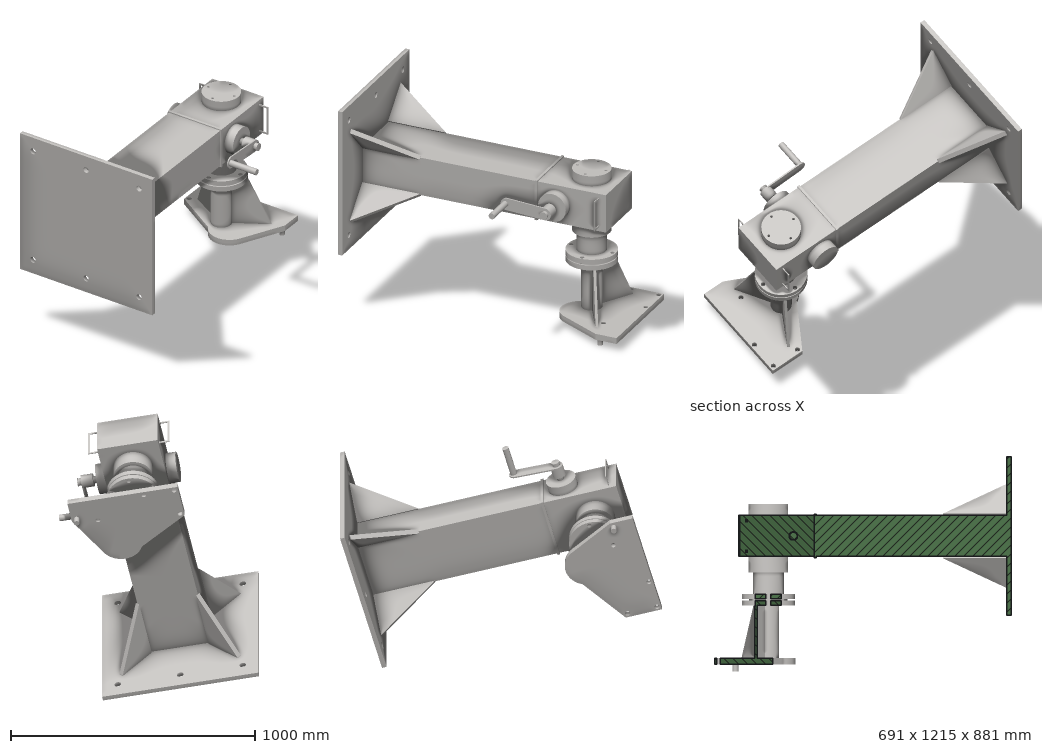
import cadquery as cq


OVERALL_WIDTH = 691.0
OVERALL_HEIGHT = 881.0

PLATE_SIDE = 652.0
PLATE_THICK = 20.0
PLATE_HOLE_DIA = 27.0
PLATE_HOLE_OFFSET = 261.0

BEAM_WIDTH = 253.0
BEAM_HEIGHT = 170.0
COLLAR_START = 798.0
COLLAR_LENGTH = 11.0
COLLAR_LIP = 5.0
ARM_GUSSET_TIP = 279.0
ARM_GUSSET_REACH = 171.0
ARM_GUSSET_THICK = 20.0
ARM_GUSSET_EMBED = 1.0

HEAD_START = COLLAR_START + COLLAR_LENGTH
COVER_THICK = 5.0
COVER_END = 1118.0
HEAD_END = COVER_END - COVER_THICK

SWIVEL_Y = 995.0
BOSS_RADIUS = 81.0
BOSS_TOP = 130.0
BOSS_BOTTOM = -150.0
TAPPED_HOLE_DIA = 11.0
TAPPED_HOLE_DEPTH = 18.0
TAPPED_HOLE_RADIUS = 64.0

SHAFT_Y = 893.0
SHAFT_DIA = 30.0
SHAFT_LIP_DIA = 34.0
SHAFT_LIP_START = 249.0
SHAFT_END = 253.0
SIDE_BOSS_DIA = 125.0
SIDE_BOSS_REACH = 168.0

HUB_DIA = 53.0
HUB_START = 186.0
HUB_END = 236.0
LEVER_THICK = 6.0
LEVER_THROW = 181.0
LEVER_END = 200.0
LEVER_TILT = 3.5
HANDLE_DIA = 27.0
HANDLE_END = OVERALL_WIDTH - PLATE_SIDE / 2

FRAME_Y = 1085.0
FRAME_BAR = 7.0
FRAME_THICK = 4.0
FRAME_WIDTH = 340.0
FRAME_HEIGHT = 132.0

COLUMN_RADIUS = 63.0
FLANGE_RADIUS = 108.0
FLANGE_THICK = 22.0
COLUMN_FLANGE_TOP = -237.0
FLANGE_GAP = 5.0
RAISED_FACE_RADIUS = 79.0
FLANGE_HOLE_DIA = 18.0
FLANGE_HOLE_RADIUS = 94.0
STAND_TOP = COLUMN_FLANGE_TOP - FLANGE_THICK - FLANGE_GAP

POST_RADIUS = 44.0
STAND_BOTTOM = -526.0
BASE_THICK = 27.0
BASE_TOP = STAND_BOTTOM + BASE_THICK
BASE_LEFT = -228.0
BASE_RIGHT = 231.0
BASE_BACK = 1215.0
BASE_LEFT_CORNER_Y = 1062.0
BASE_RIGHT_CORNER_Y = 1119.0
NOSE_START = (-24.0, 933.0)
NOSE_TIP = (56.0, 883.0)
NOSE_END = (136.0, 934.0)
BASE_HOLE_DIA = 21.0
BASE_HOLES = [(-211.0, 1199.0), (-85.0, 1199.0), (-211.0, 1074.0), (125.0, 1105.0)]
STAND_GUSSET_REACH = 205.0
STAND_GUSSET_THICK = 11.0
STAND_GUSSET_SETBACK = 2.0
STAND_GUSSET_ANGLES = (30, 150)
PEG_DIA = 23.0
PEG_END = PLATE_SIDE / 2 - OVERALL_HEIGHT
PEG_X = 209.0
PEG_Y = 1130.0


def block_y(width, height, y_start, y_end):
    """Box centred on the arm axis, from y_start to y_end."""
    return cq.Workplane("XY").box(width, y_end - y_start, height).translate((0, (y_start + y_end) / 2, 0))


def disc_z(radius, z_low, z_high, x=0, y=SWIVEL_Y):
    """Vertical cylinder, on the swivel axis unless placed elsewhere."""
    return cq.Workplane("XY", origin=(x, y, z_low)).circle(radius).extrude(z_high - z_low)


def rod_x(diameter, x_start, x_end, y=SHAFT_Y):
    """Cylinder along X at the height of the arm axis."""
    return cq.Workplane("YZ", origin=(x_start, y, 0)).circle(diameter / 2).extrude(x_end - x_start)


def ring_of_holes(radius, diameter, z_low, z_high):
    """Four vertical cutters around the swivel axis, on the X and Y directions."""
    return (
        cq.Workplane("XY", origin=(0, SWIVEL_Y, z_low))
        .polarArray(radius, 0, 360, 4)
        .circle(diameter / 2)
        .extrude(z_high - z_low)
    )


def arm_gusset(x_side, z_side):
    """Triangular plate running diagonally out of one corner of the beam."""
    outline = [
        (-ARM_GUSSET_EMBED, PLATE_THICK),
        (ARM_GUSSET_REACH, PLATE_THICK),
        (0, ARM_GUSSET_TIP),
        (-ARM_GUSSET_EMBED, ARM_GUSSET_TIP),
    ]
    diagonal = cq.Plane(
        origin=(x_side * BEAM_WIDTH / 2, 0, z_side * BEAM_HEIGHT / 2),
        xDir=(x_side, 0, z_side),
        normal=(z_side, 0, -x_side),
    )
    along = diagonal.yDir.y
    points = [(outward, along * y) for outward, y in outline]
    return cq.Workplane(diagonal).polyline(points).close().extrude(ARM_GUSSET_THICK / 2, both=True)


def make_arm():
    plate = block_y(PLATE_SIDE, PLATE_SIDE, 0, PLATE_THICK)
    holes = (
        cq.Workplane("XZ")
        .rarray(PLATE_HOLE_OFFSET, 2 * PLATE_HOLE_OFFSET, 3, 2)
        .circle(PLATE_HOLE_DIA / 2)
        .extrude(-PLATE_THICK)
    )
    beam = block_y(BEAM_WIDTH, BEAM_HEIGHT, PLATE_THICK, COLLAR_START)
    collar = block_y(BEAM_WIDTH + 2 * COLLAR_LIP, BEAM_HEIGHT + 2 * COLLAR_LIP, COLLAR_START, HEAD_START)
    arm = plate.cut(holes).union(beam).union(collar)
    for x_side in (-1, 1):
        for z_side in (-1, 1):
            arm = arm.union(arm_gusset(x_side, z_side))
    return arm


def make_cover():
    return block_y(BEAM_WIDTH, BEAM_HEIGHT, HEAD_END, COVER_END)


def make_shaft():
    stem = rod_x(SHAFT_DIA, -SIDE_BOSS_REACH, SHAFT_LIP_START)
    end_lip = rod_x(SHAFT_LIP_DIA, SHAFT_LIP_START, SHAFT_END)
    return stem.union(end_lip)


def make_frame():
    outer = cq.Workplane("XY").box(FRAME_WIDTH, FRAME_THICK, FRAME_HEIGHT)
    opening = cq.Workplane("XY").box(FRAME_WIDTH - 2 * FRAME_BAR, FRAME_THICK, FRAME_HEIGHT - 2 * FRAME_BAR)
    return outer.cut(opening).translate((0, FRAME_Y, 0))


def make_head(shaft, frame):
    body = block_y(BEAM_WIDTH, BEAM_HEIGHT, HEAD_START, HEAD_END)
    swivel_boss = disc_z(BOSS_RADIUS, BOSS_BOTTOM, BOSS_TOP)
    side_bosses = rod_x(SIDE_BOSS_DIA, -SIDE_BOSS_REACH, SIDE_BOSS_REACH)
    tapped_holes = ring_of_holes(TAPPED_HOLE_RADIUS, TAPPED_HOLE_DIA, BOSS_TOP - TAPPED_HOLE_DEPTH, BOSS_TOP)
    head = body.union(swivel_boss).union(side_bosses).cut(tapped_holes)
    return head.cut(shaft).cut(frame)


def make_crank(shaft):
    hub = rod_x(HUB_DIA, HUB_START, HUB_END)
    lever_start = HUB_END - LEVER_THICK
    lever_length = LEVER_END - HUB_DIA / 2
    lever_bar = (
        cq.Workplane("XY")
        .box(LEVER_THICK, lever_length, HUB_DIA)
        .translate((HUB_END - LEVER_THICK / 2, SHAFT_Y - lever_length / 2, 0))
    )
    lever_tip = rod_x(HUB_DIA, lever_start, HUB_END, SHAFT_Y - lever_length)
    handle = rod_x(HANDLE_DIA, HUB_END, HANDLE_END, SHAFT_Y - LEVER_THROW)
    swing = lever_bar.union(lever_tip).union(handle).rotate((0, SHAFT_Y, 0), (1, SHAFT_Y, 0), -LEVER_TILT)
    return hub.union(swing).cut(shaft)


def make_column():
    flange_bottom = COLUMN_FLANGE_TOP - FLANGE_THICK
    tube = disc_z(COLUMN_RADIUS, COLUMN_FLANGE_TOP, BOSS_BOTTOM)
    flange = disc_z(FLANGE_RADIUS, flange_bottom, COLUMN_FLANGE_TOP)
    raised_face = disc_z(RAISED_FACE_RADIUS, STAND_TOP, flange_bottom)
    holes = ring_of_holes(FLANGE_HOLE_RADIUS, FLANGE_HOLE_DIA, flange_bottom, COLUMN_FLANGE_TOP)
    return tube.union(flange).union(raised_face).cut(holes)


def make_base_plate():
    plate = (
        cq.Workplane("XY", origin=(0, 0, STAND_BOTTOM))
        .moveTo(BASE_LEFT, BASE_BACK)
        .lineTo(BASE_LEFT, BASE_LEFT_CORNER_Y)
        .lineTo(*NOSE_START)
        .threePointArc(NOSE_TIP, NOSE_END)
        .lineTo(BASE_RIGHT, BASE_RIGHT_CORNER_Y)
        .lineTo(BASE_RIGHT, BASE_BACK)
        .close()
        .extrude(BASE_THICK)
    )
    holes = (
        cq.Workplane("XY", origin=(0, 0, STAND_BOTTOM))
        .pushPoints(BASE_HOLES)
        .circle(BASE_HOLE_DIA / 2)
        .extrude(BASE_THICK)
    )
    return plate.cut(holes)


def stand_gusset(angle, flange_bottom):
    """Upright plate from the swivel axis outward, with most of its thickness on one side of the radius."""
    outline = [
        (0, BASE_TOP),
        (STAND_GUSSET_REACH, BASE_TOP),
        (FLANGE_RADIUS, flange_bottom),
        (0, flange_bottom),
    ]
    return (
        cq.Workplane("XZ", origin=(0, -STAND_GUSSET_SETBACK, 0))
        .polyline(outline)
        .close()
        .extrude(-STAND_GUSSET_THICK)
        .rotate((0, 0, 0), (0, 0, 1), angle)
        .translate((0, SWIVEL_Y, 0))
    )


def make_stand():
    flange_bottom = STAND_TOP - FLANGE_THICK
    flange = disc_z(FLANGE_RADIUS, flange_bottom, STAND_TOP)
    holes = ring_of_holes(FLANGE_HOLE_RADIUS, FLANGE_HOLE_DIA, flange_bottom, STAND_TOP)
    post = disc_z(POST_RADIUS, BASE_TOP, flange_bottom)
    peg = disc_z(PEG_DIA / 2, PEG_END, STAND_BOTTOM, PEG_X, PEG_Y)
    stand = make_base_plate().union(post).union(peg)
    for angle in STAND_GUSSET_ANGLES:
        stand = stand.union(stand_gusset(angle, flange_bottom))
    return stand.union(flange.cut(holes))


arm = make_arm()
cover = make_cover()
shaft = make_shaft()
frame = make_frame()
head = make_head(shaft, frame)
crank = make_crank(shaft)
column = make_column()
stand = make_stand()

bodies = [arm, head, cover, shaft, crank, frame, column, stand]
result = cq.Compound.makeCompound([body.solids().val() for body in bodies])